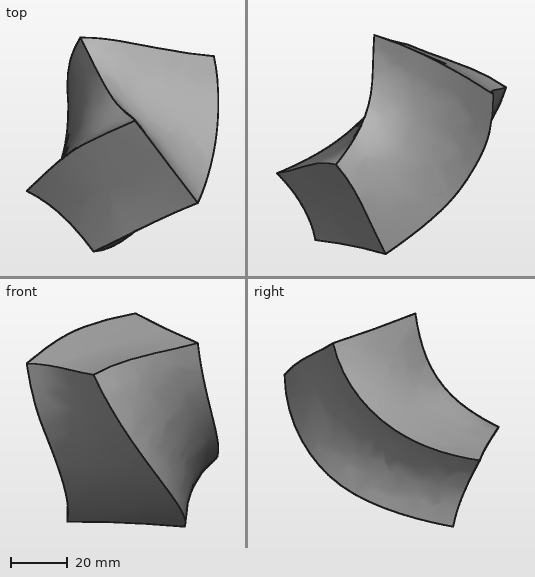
import cadquery as cq

CORNERS = {
    "A": (0, 21.4, 57.7),
    "B": (23.7, 0, 53.7),
    "C": (60.5, 17.2, 64.9),
    "D": (38.4, 46.3, 75.4),
    "E": (14.4, 57.55, 1.75),
    "F": (55.8, 59.6, 0),
    "G": (19.0, 75.6, 35.3),
    "H": (66.15, 69.0, 23.45),
}

EDGE_POINTS = {
    "AB": [(8.85, 15.9, 56.8), (14.0, 11.35, 55.7)],
    "BC": [(32.75, 4.4, 57.8), (43.55, 9.7, 60.9)],
    "CD": [(49.2, 31.9, 69.95)],
    "DA": [(25.3, 40.45, 72.3), (15.65, 35.15, 68.6), (7.2, 28.2, 63.35)],
    "EF": [(27.6, 58.1, 1.7), (40.1, 58.6, 1.1)],
    "FH": [(56.6, 61.55, 7.25), (58.9, 64.3, 14.1)],
    "HG": [(50.4, 71.15, 28), (39.1, 73.3, 31.5), (29.3, 74.9, 34)],
    "GE": [(16.0, 69.55, 25.5), (14.7, 63.9, 14.0)],
    "AE": [(1.75, 20.9, 48.25), (4.2, 21.6, 39.2), (7.7, 24.35, 30.1), (11.1, 29.4, 20.95), (13.8, 39.3, 11.65)],
    "BF": [(28.7, 1.1, 43.7), (38.5, 7.3, 28.35), (49.0, 20.65, 14.1), (54.3, 35.85, 6.35)],
    "CH": [(64.9, 29.65, 42.0), (67.0, 40.45, 33.2), (67.75, 50.65, 28.1), (67.5, 59.7, 25.25)],
    "DG": [(35.3, 49.0, 63.05), (32.4, 51.6, 56.7), (27.0, 59.8, 45.7), (24.05, 65.5, 41.1)],
}

FACES = [
    (("AB", "BC", "CD", "DA"), []),
    (("EF", "FH", "HG", "GE"), []),
    (("AB", "BF", "EF", "AE"), [(33.1, 29.5, 14.6)]),
    (("BC", "CH", "FH", "BF"), [(52.5, 18.4, 46.3)]),
    (("CD", "DG", "HG", "CH"), []),
    (("DA", "AE", "GE", "DG"), []),
]

SURFACE_DEGREE = 4


def curved_edge(name):
    """Smooth edge between the two corners in its name."""
    start, end = name
    points = [CORNERS[start], *EDGE_POINTS[name], CORNERS[end]]
    return cq.Edge.makeSpline([cq.Vector(*point) for point in points])


edges = {name: curved_edge(name) for name in EDGE_POINTS}


def curved_face(edge_names, interior_points):
    """Smooth face spanning a loop of edges and passing through the interior points."""
    boundary = [edges[name] for name in edge_names]
    return cq.Face.makeNSidedSurface(boundary, interior_points, degree=SURFACE_DEGREE)


faces = [curved_face(edge_names, interior_points) for edge_names, interior_points in FACES]

block = cq.Solid.makeSolid(cq.Shell.makeShell(faces))
result = cq.Workplane("XY").newObject([block])